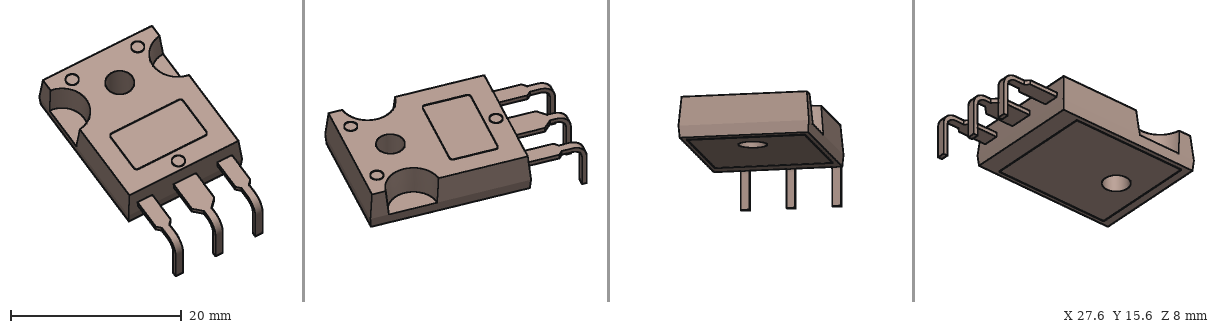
import cadquery as cq
import math


body_length = 20.0
body_width = 15.6
upper_height = 3.53
lower_height = 1.4
draft_angle = 5.0

pad_start_x = -8.7
pad_end_x = 7.31
pad_width = 14.08
pad_thickness = 0.08

hole_x = -4.7
hole_diameter = 3.4
notch_diameter = 6.0
notch_outward_offset = 0.1

recess_depth = 0.1
label_start_x = 1.0
label_length = 6.0
label_width = 9.95
label_corner_radius = 0.4
dimple_diameter = 1.57
dimple_centres = [(-8.0, -4.5), (-8.0, 4.5), (8.45, 0)]

lead_end_x = 27.6 - body_length / 2
lead_tip_z = upper_height - 8.0
lead_top_z = 1.6
lead_thickness = 0.6
lead_bend_radius = 1.8
lead_pitch = 5.46
lead_tip_width = 1.02
lead_shoulder_x = 13.97
outer_lead_width = 2.05
middle_lead_width = 3.1
lead_embed = 0.83


def make_drafted_block(height):
    """Block on the parting plane that narrows upward by the draft angle."""
    return cq.Workplane("XY").rect(body_length, body_width).extrude(height, taper=draft_angle)


def make_body():
    """Two drafted blocks meeting at the parting plane, plus the metal pad."""
    upper = make_drafted_block(upper_height)
    lower = make_drafted_block(lower_height).mirror("XY")
    pad = (
        cq.Workplane("XY", origin=((pad_start_x + pad_end_x) / 2, 0, -lower_height))
        .rect(pad_end_x - pad_start_x, pad_width)
        .extrude(-pad_thickness)
    )
    return upper.union(lower).union(pad)


def make_notch(side):
    """Conical cutter at one long edge, widening upward from the parting plane."""
    centre_y = side * (body_width / 2 + notch_outward_offset)
    return (
        cq.Workplane("XY", origin=(hole_x, centre_y, 0))
        .circle(notch_diameter / 2)
        .extrude(upper_height, taper=-draft_angle)
    )


def make_recesses():
    """Cutters for the label panel and the round ejector marks."""
    floor = cq.Workplane("XY", origin=(0, 0, upper_height - recess_depth))
    label = (
        floor.center(label_start_x + label_length / 2, 0)
        .rect(label_length, label_width)
        .extrude(recess_depth)
        .edges("|Z")
        .fillet(label_corner_radius)
    )
    dimples = floor.pushPoints(dimple_centres).circle(dimple_diameter / 2).extrude(recess_depth)
    return label.union(dimples)


def make_lead(centre_y, root_width):
    """Bent strip trimmed to a wide root that narrows at 45 degrees to the tip."""
    start_x = body_length / 2 - lead_embed
    inner_radius = lead_bend_radius - lead_thickness
    bend_x = lead_end_x - lead_bend_radius
    bend_z = lead_top_z - lead_bend_radius
    diagonal = math.sqrt(0.5)
    strip = (
        cq.Workplane("XZ", origin=(0, centre_y, 0))
        .moveTo(start_x, lead_top_z)
        .lineTo(bend_x, lead_top_z)
        .threePointArc(
            (bend_x + lead_bend_radius * diagonal, bend_z + lead_bend_radius * diagonal),
            (lead_end_x, bend_z),
        )
        .lineTo(lead_end_x, lead_tip_z)
        .lineTo(lead_end_x - lead_thickness, lead_tip_z)
        .lineTo(lead_end_x - lead_thickness, bend_z)
        .threePointArc(
            (bend_x + inner_radius * diagonal, bend_z + inner_radius * diagonal),
            (bend_x, lead_top_z - lead_thickness),
        )
        .lineTo(start_x, lead_top_z - lead_thickness)
        .close()
        .extrude(root_width / 2, both=True)
    )
    root_half = root_width / 2
    tip_half = lead_tip_width / 2
    neck_x = lead_shoulder_x + root_half - tip_half
    plan = (
        cq.Workplane("XY", origin=(0, centre_y, lead_tip_z))
        .polyline([
            (start_x, -root_half),
            (lead_shoulder_x, -root_half),
            (neck_x, -tip_half),
            (lead_end_x, -tip_half),
            (lead_end_x, tip_half),
            (neck_x, tip_half),
            (lead_shoulder_x, root_half),
            (start_x, root_half),
        ])
        .close()
        .extrude(lead_top_z - lead_tip_z)
    )
    return strip.intersect(plan)


result = make_body()

for side in (-1, 1):
    result = result.cut(make_notch(side))

result = result.cut(make_recesses())

mounting_hole = (
    cq.Workplane("XY", origin=(hole_x, 0, -lower_height - pad_thickness))
    .circle(hole_diameter / 2)
    .extrude(pad_thickness + lower_height + upper_height)
)
result = result.cut(mounting_hole)

for position, root_width in ((-1, outer_lead_width), (0, middle_lead_width), (1, outer_lead_width)):
    result = result.union(make_lead(position * lead_pitch, root_width))